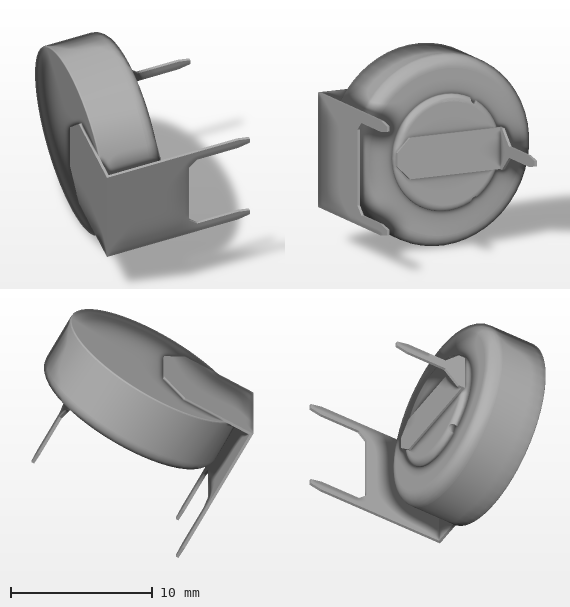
import cadquery as cq
import math

body_radius = 6.95
body_depth = 4.5
body_front_fillet = 0.1
body_back_fillet = 0.9

neck_radius = 4.25
neck_height = 0.5
neck_back_y = body_depth + neck_height

notch_radius = 0.28
notch_pitch_radius = 4.2
notch_angles = (120, 240)

sheet = 0.2
pin_tip_y = 10.6
pin_half_width = 0.4
pin_tip_half_width = 0.2
pin_taper_length = 0.9
pin_taper_y = pin_tip_y - pin_taper_length
pin_length = 4.0
pin_shoulder_y = pin_tip_y - pin_length

front_left_x = 0.5
front_right_x = 7.7
front_chamfer_x = 1.7
front_chamfer_z = 2.1
pin_offset = 3.75
front_half_height = pin_offset + pin_half_width
front_leg_shoulder = 0.6

back_half_length = 4.15
back_half_height = 1.5
back_plate_chamfer = 1.0
back_leg_shoulder = back_half_height - pin_half_width


def make_body():
    body = cq.Workplane("XZ").circle(body_radius).extrude(-body_depth)
    body = body.faces("<Y").edges().fillet(body_front_fillet)
    return body.faces(">Y").edges().fillet(body_back_fillet)


def make_neck():
    """Solid of revolution: a disc whose rim is a full quarter round."""
    flat_radius = neck_radius - neck_height
    arc_x = flat_radius + neck_height * math.cos(math.radians(45))
    arc_y = body_depth + neck_height * math.sin(math.radians(45))
    neck = (
        cq.Workplane("XY")
        .moveTo(0, body_depth)
        .lineTo(neck_radius, body_depth)
        .threePointArc((arc_x, arc_y), (flat_radius, neck_back_y))
        .lineTo(0, neck_back_y)
        .close()
        .revolve(360, (0, 0, 0), (0, 1, 0))
    )
    for angle in notch_angles:
        x = notch_pitch_radius * math.cos(math.radians(angle))
        z = notch_pitch_radius * math.sin(math.radians(angle))
        notch = (
            cq.Workplane("XZ", origin=(0, body_depth, 0))
            .center(x, z)
            .circle(notch_radius)
            .extrude(-neck_height)
        )
        neck = neck.cut(notch)
    return neck


def sheet_plate(points, front_y):
    """Plate lying in XZ with its front face at front_y."""
    return cq.Workplane("XZ", origin=(0, front_y, 0)).polyline(points).close().extrude(-sheet)


def sheet_leg(points, left_x):
    """Leg lying in YZ with its -X face at left_x."""
    return cq.Workplane("YZ", origin=(left_x, 0, 0)).polyline(points).close().extrude(sheet)


def pin_end(center_z):
    """Tapered pin outline from the lower to the upper shoulder, as (y, z) points."""
    return [
        (pin_shoulder_y, center_z - pin_half_width),
        (pin_taper_y, center_z - pin_half_width),
        (pin_tip_y, center_z - pin_tip_half_width),
        (pin_tip_y, center_z + pin_tip_half_width),
        (pin_taper_y, center_z + pin_half_width),
        (pin_shoulder_y, center_z + pin_half_width),
    ]


def make_front_terminal():
    flat_half_height = front_half_height - front_chamfer_z
    chamfer_end_x = front_left_x + front_chamfer_x
    plate = sheet_plate(
        [
            (front_left_x, -flat_half_height),
            (chamfer_end_x, -front_half_height),
            (front_right_x, -front_half_height),
            (front_right_x, front_half_height),
            (chamfer_end_x, front_half_height),
            (front_left_x, flat_half_height),
        ],
        -sheet,
    )
    web_y = pin_shoulder_y - front_leg_shoulder
    web_half_height = pin_offset - pin_half_width - front_leg_shoulder
    leg = sheet_leg(
        [(-sheet, -front_half_height)]
        + pin_end(-pin_offset)
        + [(web_y, -web_half_height), (web_y, web_half_height)]
        + pin_end(pin_offset)
        + [(-sheet, front_half_height)],
        front_right_x - sheet,
    )
    return plate.union(leg)


def make_back_terminal():
    chamfer_start_x = back_half_length - back_plate_chamfer
    flat_half_height = back_half_height - back_plate_chamfer
    plate = sheet_plate(
        [
            (-back_half_length, -back_half_height),
            (chamfer_start_x, -back_half_height),
            (back_half_length, -flat_half_height),
            (back_half_length, flat_half_height),
            (chamfer_start_x, back_half_height),
            (-back_half_length, back_half_height),
        ],
        neck_back_y,
    )
    shoulder_base_y = pin_shoulder_y - back_leg_shoulder
    leg = sheet_leg(
        [(neck_back_y, -back_half_height), (shoulder_base_y, -back_half_height)]
        + pin_end(0)
        + [(shoulder_base_y, back_half_height), (neck_back_y, back_half_height)],
        -back_half_length,
    )
    return plate.union(leg)


result = make_body().union(make_neck()).union(make_front_terminal()).union(make_back_terminal())